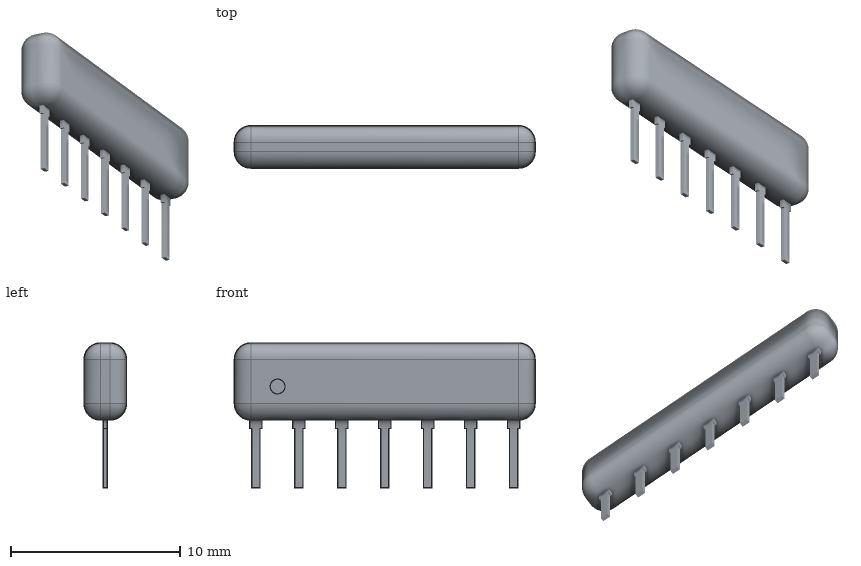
import cadquery as cq

body_length = 17.8
body_thickness = 2.53
body_height = 4.57
body_round = 1.0

pin_count = 7
pin_row_length = 15.24
pin_pitch = pin_row_length / (pin_count - 1)
pin_width = 0.5
pin_thickness = 0.25
shoulder_width = 0.75
shoulder_height = 0.5
total_height = 8.58
pin_length = total_height - body_height

mark_diameter = 0.87
mark_depth = 0.09
mark_x = -6.34
mark_z = 2.0
front_y = -body_thickness / 2


def make_mark():
    """Thin disc with its outer face level with the front of the body."""
    front_plane = cq.Plane(origin=(mark_x, front_y, mark_z), xDir=(1, 0, 0), normal=(0, -1, 0))
    return cq.Workplane(front_plane).circle(mark_diameter / 2).extrude(-mark_depth)


def make_body(mark):
    """Block rounded on every edge, with a shallow recess for the mark."""
    block = cq.Workplane("XY").box(
        body_length, body_thickness, body_height, centered=(True, True, False)
    )
    return block.edges().fillet(body_round).cut(mark)


def make_pin(x):
    """Flat pin hanging from the underside of the body, with a wider shoulder at its top."""
    leg = cq.Workplane("XY").center(x, 0).rect(pin_width, pin_thickness).extrude(-pin_length)
    shoulder = cq.Workplane("XY").center(x, 0).rect(shoulder_width, pin_thickness).extrude(-shoulder_height)
    return leg.union(shoulder)


mark = make_mark()
body = make_body(mark)

first_pin_x = -pin_row_length / 2
pins = [make_pin(first_pin_x + i * pin_pitch) for i in range(pin_count)]

result = cq.Compound.makeCompound([body.val(), mark.val(), *[pin.val() for pin in pins]])